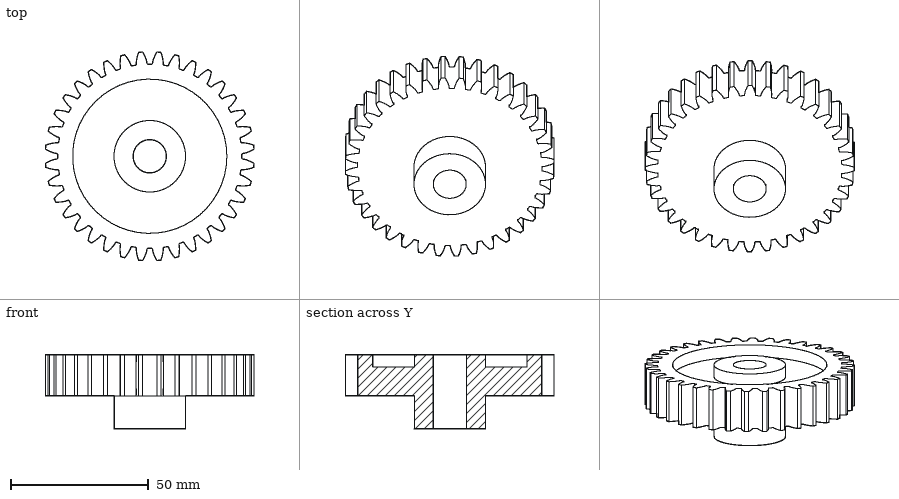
import cadquery as cq
import math

overall_diameter = 75.8
tooth_count = 36
pressure_angle = math.radians(20)
addendum_factor = 1.0
dedendum_factor = 1.25
flank_steps = 6

face_width = 15.0
hub_length = 12.0
hub_diameter = 26.0
bore_diameter = 12.0
recess_diameter = 56.05
recess_depth = 4.5


def involute(angle):
    return math.tan(angle) - angle


tooth_pitch = 2 * math.pi / tooth_count
half_tooth_at_base = tooth_pitch / 4 + involute(pressure_angle)
tip_diameter_in_modules = tooth_count + 2 * addendum_factor
tip_pressure_angle = math.acos(tooth_count * math.cos(pressure_angle) / tip_diameter_in_modules)
half_tooth_at_tip = half_tooth_at_base - involute(tip_pressure_angle)

tip_radius = overall_diameter / 2 / math.cos(tooth_pitch / 2 - half_tooth_at_tip)
gear_module = 2 * tip_radius / tip_diameter_in_modules
pitch_radius = gear_module * tooth_count / 2
base_radius = pitch_radius * math.cos(pressure_angle)
root_radius = pitch_radius - dedendum_factor * gear_module

fillet_radius = (base_radius**2 - root_radius**2) / (2 * root_radius)
fillet_angle = math.atan(fillet_radius / base_radius)


def polar(radius, angle):
    return (radius * math.cos(angle), radius * math.sin(angle))


def flank_points(center_angle, side):
    """Involute from the base circle to the tip; side is -1 or +1 of the tooth centre."""
    points = []
    for step in range(flank_steps + 1):
        roll = math.tan(tip_pressure_angle) * math.sqrt(step / flank_steps)
        radius = base_radius * math.hypot(1, roll)
        half_angle = half_tooth_at_base - (roll - math.atan(roll))
        points.append(polar(radius, center_angle + side * half_angle))
    return points


def fillet_middle(center_angle, side):
    """Point halfway round the root fillet on one side of a tooth."""
    center_radius = root_radius + fillet_radius
    fillet_center_angle = center_angle + side * (half_tooth_at_base + fillet_angle)
    center_x, center_y = polar(center_radius, fillet_center_angle)
    flank_direction = center_angle + side * (half_tooth_at_base - math.pi / 2)
    root_direction = fillet_center_angle - side * math.pi
    middle_direction = (flank_direction + root_direction) / 2
    offset_x, offset_y = polar(fillet_radius, middle_direction)
    return (center_x + offset_x, center_y + offset_y)


def gear_outline():
    half_tooth_at_root = half_tooth_at_base + fillet_angle
    first_center = tooth_pitch / 2
    outline = cq.Workplane("XY").moveTo(*polar(root_radius, first_center - half_tooth_at_root))
    for index in range(tooth_count):
        center = first_center + index * tooth_pitch
        rising = flank_points(center, -1)
        falling = flank_points(center, 1)[::-1]
        space_center = center + tooth_pitch / 2
        next_root = polar(root_radius, center + tooth_pitch - half_tooth_at_root)

        outline = outline.threePointArc(fillet_middle(center, -1), rising[0])
        outline = outline.spline(rising[1:], includeCurrent=True)
        outline = outline.threePointArc(polar(tip_radius, center), falling[0])
        outline = outline.spline(falling[1:], includeCurrent=True)
        outline = outline.threePointArc(
            fillet_middle(center, 1), polar(root_radius, center + half_tooth_at_root)
        )
        outline = outline.threePointArc(polar(root_radius, space_center), next_root)
    return outline.close()


def disc(diameter, bottom, height):
    return cq.Workplane("XY").workplane(offset=bottom).circle(diameter / 2).extrude(height)


gear = gear_outline().extrude(face_width)
hub = disc(hub_diameter, -hub_length, hub_length + face_width)
recess = disc(recess_diameter, face_width - recess_depth, recess_depth)
bore = disc(bore_diameter, -hub_length, hub_length + face_width)

result = gear.cut(recess).union(hub).cut(bore)